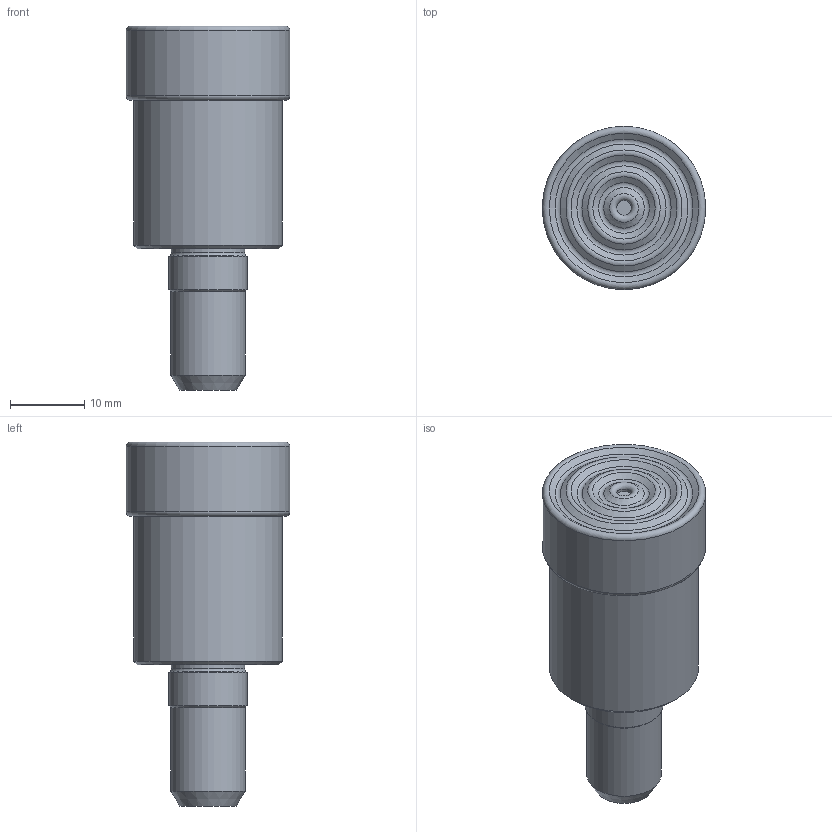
import math

import cadquery as cq

TOTAL_HEIGHT = 49.0
HEAD_RADIUS = 11.0
HEAD_HEIGHT = 10.0
BODY_RADIUS = 10.0
BODY_HEIGHT = 20.0
BODY_CHAMFER = 0.5
EDGE_RADIUS = 0.6

SHANK_RADIUS = 5.0
TIP_CHAMFER_HEIGHT = 2.0
TIP_CHAMFER_ANGLE = math.radians(30)
COLLAR_RADIUS = 5.25
COLLAR_BOTTOM_Z = 13.25
COLLAR_SHOULDER_Z = 18.0
NECK_RADIUS = 4.95
NECK_FILLET_RADIUS = 0.5
COLLAR_CHAMFER_ANGLE = math.radians(45)

WAVE_COUNT = 3
WAVE_RADIUS = EDGE_RADIUS
WAVE_SLOPE = math.radians(34.5)
HOLE_RADIUS = 1.0
HOLE_DEPTH = 1.0

head_bottom_z = TOTAL_HEIGHT - HEAD_HEIGHT
body_bottom_z = head_bottom_z - BODY_HEIGHT
tip_radius = SHANK_RADIUS - TIP_CHAMFER_HEIGHT * math.tan(TIP_CHAMFER_ANGLE)

edge_arc_inset = EDGE_RADIUS * (1 - math.sqrt(0.5))

neck_fillet_outer_radius = NECK_RADIUS + NECK_FILLET_RADIUS * (1 - math.cos(COLLAR_CHAMFER_ANGLE))
neck_fillet_bottom_z = COLLAR_SHOULDER_Z + (COLLAR_RADIUS - neck_fillet_outer_radius) / math.tan(
    COLLAR_CHAMFER_ANGLE
)
neck_fillet_top_z = neck_fillet_bottom_z + NECK_FILLET_RADIUS * math.sin(COLLAR_CHAMFER_ANGLE)
neck_fillet_middle_radius = NECK_RADIUS + NECK_FILLET_RADIUS * (1 - math.cos(COLLAR_CHAMFER_ANGLE / 2))
neck_fillet_middle_z = neck_fillet_top_z - NECK_FILLET_RADIUS * math.sin(COLLAR_CHAMFER_ANGLE / 2)

outer_crest_radius = HEAD_RADIUS - EDGE_RADIUS
inner_crest_radius = HOLE_RADIUS + WAVE_RADIUS
wave_pitch = (outer_crest_radius - inner_crest_radius) / WAVE_COUNT

arc_half_width = WAVE_RADIUS * math.sin(WAVE_SLOPE)
arc_height = WAVE_RADIUS * (1 - math.cos(WAVE_SLOPE))
flank_width = wave_pitch / 2 - 2 * arc_half_width
valley_z = TOTAL_HEIGHT - 2 * arc_height - flank_width * math.tan(WAVE_SLOPE)
crest_end_z = TOTAL_HEIGHT - arc_height
valley_end_z = valley_z + arc_height


def add_shank(profile):
    """Trace the tapered tip, the shank, its chamfered collar and the filleted neck above it."""
    return (
        profile.lineTo(tip_radius, 0)
        .lineTo(SHANK_RADIUS, TIP_CHAMFER_HEIGHT)
        .lineTo(SHANK_RADIUS, COLLAR_BOTTOM_Z)
        .lineTo(COLLAR_RADIUS, COLLAR_BOTTOM_Z + COLLAR_RADIUS - SHANK_RADIUS)
        .lineTo(COLLAR_RADIUS, COLLAR_SHOULDER_Z)
        .lineTo(neck_fillet_outer_radius, neck_fillet_bottom_z)
        .threePointArc((neck_fillet_middle_radius, neck_fillet_middle_z), (NECK_RADIUS, neck_fillet_top_z))
        .lineTo(NECK_RADIUS, body_bottom_z)
    )


def add_body_and_head(profile):
    """Trace the chamfered body and the wider head with its rounded lower edge."""
    return (
        profile.lineTo(BODY_RADIUS - BODY_CHAMFER, body_bottom_z)
        .lineTo(BODY_RADIUS, body_bottom_z + BODY_CHAMFER)
        .lineTo(BODY_RADIUS, head_bottom_z)
        .lineTo(HEAD_RADIUS - EDGE_RADIUS, head_bottom_z)
        .threePointArc(
            (HEAD_RADIUS - edge_arc_inset, head_bottom_z + edge_arc_inset),
            (HEAD_RADIUS, head_bottom_z + EDGE_RADIUS),
        )
        .lineTo(HEAD_RADIUS, TOTAL_HEIGHT - EDGE_RADIUS)
    )


def add_wavy_top(profile):
    """Trace the top from the rim inwards: crests and valleys joined by straight flanks."""
    profile = profile.threePointArc(
        (HEAD_RADIUS - edge_arc_inset, TOTAL_HEIGHT - edge_arc_inset),
        (outer_crest_radius - arc_half_width, crest_end_z),
    )
    for index in range(WAVE_COUNT):
        valley_radius = outer_crest_radius - (index + 0.5) * wave_pitch
        profile = profile.lineTo(valley_radius + arc_half_width, valley_end_z).threePointArc(
            (valley_radius, valley_z), (valley_radius - arc_half_width, valley_end_z)
        )
        crest_radius = outer_crest_radius - (index + 1) * wave_pitch
        profile = profile.lineTo(crest_radius + arc_half_width, crest_end_z)
        if index < WAVE_COUNT - 1:
            profile = profile.threePointArc(
                (crest_radius, TOTAL_HEIGHT), (crest_radius - arc_half_width, crest_end_z)
            )
    return profile.threePointArc(
        (inner_crest_radius, TOTAL_HEIGHT), (HOLE_RADIUS, TOTAL_HEIGHT - WAVE_RADIUS)
    )


outline = add_shank(cq.Workplane("XZ").moveTo(0, 0))
outline = add_body_and_head(outline)
outline = add_wavy_top(outline)
outline = outline.lineTo(HOLE_RADIUS, TOTAL_HEIGHT - HOLE_DEPTH).lineTo(0, TOTAL_HEIGHT - HOLE_DEPTH).close()

result = outline.revolve(360, (0, 0, 0), (0, 1, 0))